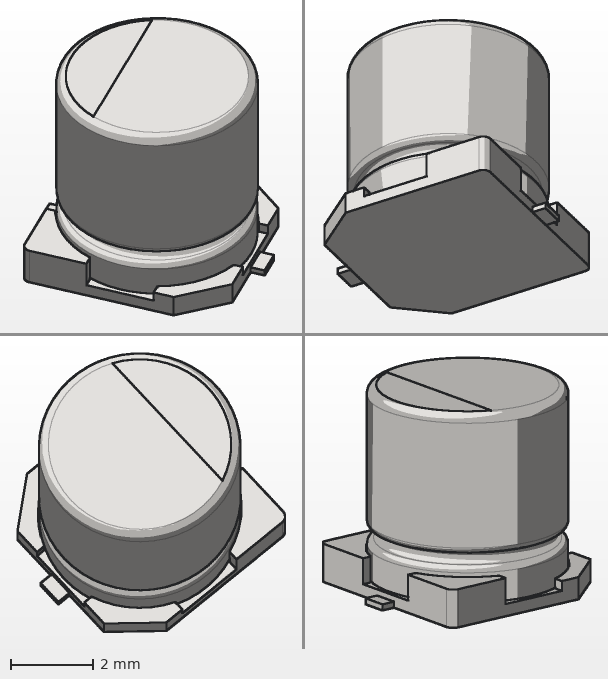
import cadquery as cq

total_length = 5.84
total_height = 5.12

base_length = 5.115
base_width = 5.17
base_height = 0.975
low_corner_height = 0.565
chamfer_start_x = 1.395
chamfer_end_y = 1.605
corner_radius = 0.205
notch_width = 1.75
floor_height = 0.315
bore_diameter = 4.965

can_radius = 4.925 / 2
top_edge_radius = 0.235
foot_radius = 4.905 / 2
roll_radius = 0.16
groove_height = 1.39

mark_edge_x = -0.895
mark_thickness = 0.06

lead_width = 0.66
lead_thickness = 0.16


def make_base():
    half_length = base_length / 2
    half_width = base_width / 2
    base = (
        cq.Workplane("XY")
        .moveTo(-half_length, -half_width)
        .lineTo(chamfer_start_x, -half_width)
        .lineTo(half_length, -chamfer_end_y)
        .lineTo(half_length, chamfer_end_y)
        .lineTo(chamfer_start_x, half_width)
        .lineTo(-half_length, half_width)
        .close()
        .extrude(base_height)
    )
    base = base.edges("|Z and <X").fillet(corner_radius)

    above_floor = cq.Workplane("XY").workplane(offset=floor_height)
    base = base.cut(above_floor.rect(base_length, notch_width).extrude(base_height))
    base = base.cut(above_floor.rect(notch_width, base_width).extrude(base_height))

    base = base.cut(above_floor.circle(bore_diameter / 2).extrude(base_height))

    corner_relief = (
        cq.Workplane("XY")
        .workplane(offset=low_corner_height)
        .rect(half_length, base_width)
        .extrude(base_height)
        .translate((half_length / 2, 0, 0))
    )
    return base.cut(corner_relief)


def make_mark():
    mark_radius = can_radius - top_edge_radius
    disc = (
        cq.Workplane("XY")
        .workplane(offset=total_height - mark_thickness)
        .circle(mark_radius)
        .extrude(mark_thickness)
    )
    outside_mark = (
        cq.Workplane("XY")
        .box(2 * mark_radius, 2 * mark_radius, total_height, centered=(False, True, False))
        .translate((mark_edge_x, 0, 0))
    )
    return disc.cut(outside_mark)


def make_can(mark):
    upper_lip_radius = can_radius - roll_radius
    lower_lip_radius = foot_radius - roll_radius
    lower_lip_height = groove_height - 2 * roll_radius
    upper_lip_height = groove_height + 2 * roll_radius
    flat_radius = can_radius - top_edge_radius
    can = (
        cq.Workplane("XZ")
        .moveTo(0, floor_height)
        .lineTo(foot_radius, floor_height)
        .lineTo(foot_radius, lower_lip_height)
        .radiusArc((lower_lip_radius, groove_height - roll_radius), -roll_radius)
        .threePointArc(
            (upper_lip_radius - roll_radius, groove_height),
            (upper_lip_radius, groove_height + roll_radius),
        )
        .radiusArc((can_radius, upper_lip_height), -roll_radius)
        .lineTo(can_radius, total_height - top_edge_radius)
        .radiusArc((flat_radius, total_height), -top_edge_radius)
        .lineTo(0, total_height)
        .close()
        .revolve(360, (0, 0, 0), (0, 1, 0))
    )
    return can.cut(mark)


def make_lead(side):
    """Lead butted against the base wall; side is -1 or 1 along X."""
    lead_length = (total_length - base_length) / 2
    return (
        cq.Workplane("XY")
        .box(lead_length, lead_width, lead_thickness, centered=(True, True, False))
        .translate((side * (base_length + lead_length) / 2, 0, 0))
    )


base = make_base()
mark = make_mark()
can = make_can(mark)
leads = [make_lead(side).val() for side in (-1, 1)]

result = cq.Compound.makeCompound([base.val(), can.val(), mark.val(), *leads])